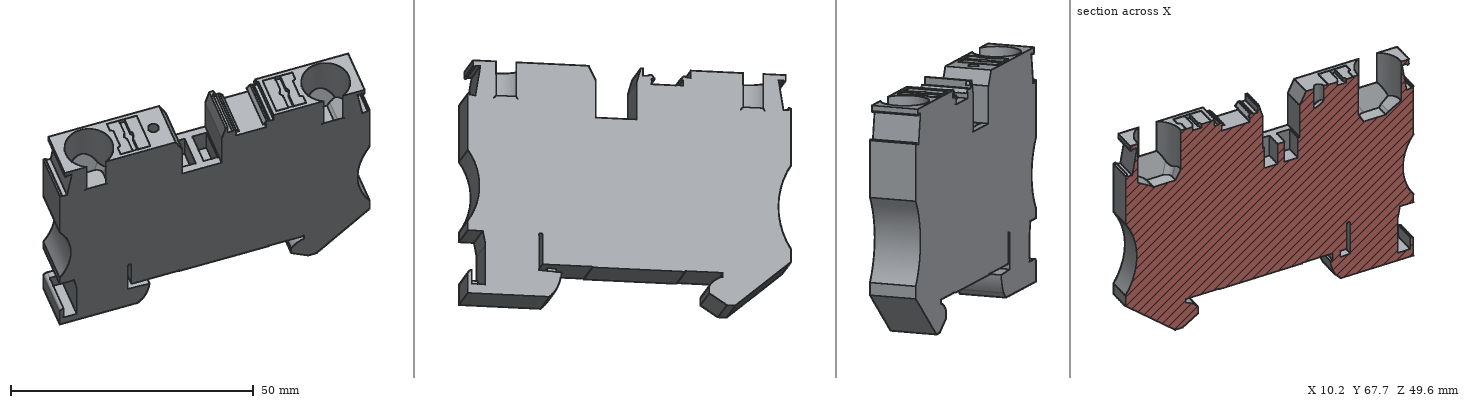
import math

import cadquery as cq

WIDTH = 10.15
LENGTH = 67.7
HEIGHT = 49.55
HALF_WIDTH = WIDTH / 2
END = LENGTH / 2

LIP_Y = 32.75
LIP_BOTTOM = 48.4
LIP_BEAD = 0.3
GROOVE_TOP_Y = 31.2
GROOVE_BOTTOM_Y = 32.25
GROOVE_FLOOR = 42.05
GROOVE_FLOOR_RISE = 0.15
SHOULDER_Y = 33.37
SHOULDER_TOP = 42.6
SHOULDER_EDGE = 42.4

SCALLOP_TOP = 30.4
FIXED_SCALLOP_BOTTOM = 12.5
FIXED_SCALLOP_DEPTH = 2.65
FOOT_SCALLOP_BOTTOM = 15.4
FOOT_SCALLOP_DEPTH = 2.45

RAIL_SEAT = 6.85
SEAT_PAD_DROP = 0.15
SEAT_PAD_ENDS = (-7.7, 11.75)
HOOK_SLOPE_TOP = 9.85
HOOK_BOTTOM_OUTER = 22.15
HOOK_BOTTOM_INNER = 20.4
HOOK_NOSE_Y = 16.7
HOOK_NOSE_LOW = 2.35
HOOK_NOSE_HIGH = 3.95
HOOK_ROOT_Y = 19.55
HOOK_ROOT_Z = 6.0
HOOK_BULGE = (17.8, 5.15)
FOOT_LEDGE = 5.55
FOOT_TOE_Z = 5.3
FOOT_TOE_Y = -14.2
FOOT_CURVE_MID = (-14.6, 3.3)
FOOT_CURVE_END = (-15.45, 1.35)
FOOT_BOTTOM_Y = -16.75
SLIT_INNER_Y = -18.2
SLIT_WIDTH = 0.75
SLIT_TOP = 13.45
RELEASE_WALL_Y = -30.15
RELEASE_TOP = 13.35
RELEASE_CHAMFER = (0.55, 2.85)
RELEASE_FLOOR = 4.93
FOOT_LIP_RADIUS = 0.85
POCKET_FLOOR = 2.0
POCKET_LIP_Y = FOOT_LIP_RADIUS - END
POCKET_WALL_THICKNESS = 1.6
SPRING_LENGTH_X = 4.0
SPRING_ENDS = (-16.7, -14.8)

GAP_Y_MIN = -7.05
GAP_Y_MAX = 1.5
GAP_FLOOR = 38.6
GAP_FLARE_Z = 46.5
GAP_FLARE_Y_MIN = -8.55
GAP_FLARE_Y_MAX = 2.4
WINDOW_LENGTH = 6.85
WINDOW_WIDTH = 3.07
WINDOW_CENTRES = (-0.33, -5.09)
WINDOW_DEPTH = 5.0

MARKER_Y_MIN = 2.87
MARKER_Y_MAX = 12.85
MARKER_LEDGE = 48.0
MARKER_FLOOR = 46.25
MARKER_FLOOR_Y_MIN = 4.65
MARKER_FLOOR_Y_MAX = 11.2
RIDGE_TOP = 48.25
RIDGE_Y_MIN = 4.2
RIDGE_Y_MAX = 11.7
RIDGE_TOP_WIDTH = 0.4
RIDGE_TIP_REACH = 0.67
RIDGE_TIP_Z = 47.4
EAR_LENGTH_X = 0.85
EAR_REACH = 0.75
EAR_TOP_REACH = 0.35
EAR_TIP_Z = 48.75
EAR_ROOT_Z = 48.95

FUNNEL_X = 0.5
FUNNEL_Y = 25.85
FUNNEL_RADIUS = 5.03
FUNNEL_FLOOR = 37.5
THROAT_WIDTH = 5.5
THROAT_SHIFT = -0.4
THROAT_INNER = 3.75
THROAT_OUTER = 1.4
THROAT_CORNER_RADIUS = 1.65
SIDE_STEEPNESS = 65
INNER_STEEPNESS = 61
OUTER_STEEPNESS = 30.3
OUTER_STEP = 0.65
OUTER_STEP_RISE = 0.55

INSERT_LENGTH = 8.45
INSERT_Y = 17.0
INSERT_HALF = 3.25
INSERT_RECESS = 0.1
NOTCH_HALF = 2.05
NOTCH_FLARE = 0.4
NOTCH_DEPTH = 0.65
SLOT_WIDTH = 1.2
SLOT_DEPTH = 0.95
SLOT_EYE_RADIUS = 1.0
TEST_HOLE_Y = -11.6
TEST_HOLE_DIAMETER = 2.2
TEST_HOLE_DEPTH = 5.0
TEST_FLOOR_RADIUS = 4.1
TEST_FLOOR_SHIFT = 1.95


def prism(points, x_min=-HALF_WIDTH, x_max=HALF_WIDTH):
    """Closed (y, z) polygon extruded along X."""
    return cq.Workplane("YZ", origin=(x_min, 0, 0)).polyline(points).close().extrude(x_max - x_min)


def block(x_range, y_range, z_range):
    """Axis-aligned box between the given limits."""
    sizes = [high - low for low, high in (x_range, y_range, z_range)]
    corner = (x_range[0], y_range[0], z_range[0])
    return cq.Workplane("XY").box(*sizes, centered=False).translate(corner)


def label_groove(side):
    """Undercut below the top lip of one end; side is +1 for the +Y end, -1 for the -Y end."""
    outside = END + 1
    points = [
        (outside, HEIGHT + 1),
        (LIP_Y, HEIGHT + 1),
        (LIP_Y, LIP_BOTTOM),
        (LIP_Y - LIP_BEAD, LIP_BOTTOM - LIP_BEAD),
        (LIP_Y - 2 * LIP_BEAD, LIP_BOTTOM),
        (GROOVE_TOP_Y, LIP_BOTTOM),
        (GROOVE_BOTTOM_Y, GROOVE_FLOOR),
        (SHOULDER_Y, GROOVE_FLOOR + GROOVE_FLOOR_RISE),
        (SHOULDER_Y, SHOULDER_TOP),
        (END, SHOULDER_EDGE),
        (outside, SHOULDER_EDGE),
    ]
    return prism([(side * y, z) for y, z in points])


def scallop(side, bottom, depth):
    """Cylinder along X that bites an end to the given depth over the height bottom to SCALLOP_TOP."""
    half_chord = (SCALLOP_TOP - bottom) / 2
    radius = (half_chord**2 + depth**2) / (2 * depth)
    y = side * (END - depth + radius)
    z = (SCALLOP_TOP + bottom) / 2
    return cq.Workplane("YZ", origin=(-HALF_WIDTH, 0, 0)).center(y, z).circle(radius).extrude(WIDTH)


def rail_opening():
    """Space for the rail between hook and foot, with the slit that frees the foot."""
    slit_outer_y = SLIT_INNER_Y - SLIT_WIDTH
    slit_arc_z = SLIT_TOP - SLIT_WIDTH / 2
    pad_min, pad_max = SEAT_PAD_ENDS
    pad_z = RAIL_SEAT - SEAT_PAD_DROP
    return (
        cq.Workplane("YZ", origin=(-HALF_WIDTH, 0, 0))
        .moveTo(HOOK_BOTTOM_INNER, 0)
        .lineTo(HOOK_NOSE_Y, HOOK_NOSE_LOW)
        .lineTo(HOOK_NOSE_Y, HOOK_NOSE_HIGH)
        .threePointArc(HOOK_BULGE, (HOOK_ROOT_Y, HOOK_ROOT_Z))
        .lineTo(HOOK_ROOT_Y, RAIL_SEAT)
        .lineTo(pad_max, RAIL_SEAT)
        .lineTo(pad_max, pad_z)
        .lineTo(pad_min, pad_z)
        .lineTo(pad_min, RAIL_SEAT)
        .lineTo(SLIT_INNER_Y, RAIL_SEAT)
        .lineTo(SLIT_INNER_Y, slit_arc_z)
        .threePointArc((SLIT_INNER_Y - SLIT_WIDTH / 2, SLIT_TOP), (slit_outer_y, slit_arc_z))
        .lineTo(slit_outer_y, FOOT_LEDGE)
        .lineTo(FOOT_TOE_Y, FOOT_TOE_Z)
        .threePointArc(FOOT_CURVE_MID, FOOT_CURVE_END)
        .lineTo(FOOT_BOTTOM_Y, 0)
        .close()
        .extrude(WIDTH)
    )


def hook_slope():
    """Corner removed below the fixed hook at the +Y end."""
    return prism([(END, HOOK_SLOPE_TOP), (HOOK_BOTTOM_OUTER, 0), (END, 0)])


def release_recess():
    """Recess for the release tool in the outer face of the foot."""
    chamfer_y, chamfer_z = RELEASE_CHAMFER
    return prism(
        [
            (-END, RELEASE_TOP),
            (RELEASE_WALL_Y - chamfer_y, RELEASE_TOP),
            (RELEASE_WALL_Y, RELEASE_TOP - chamfer_z),
            (RELEASE_WALL_Y, RELEASE_FLOOR),
            (-END, RELEASE_FLOOR),
        ]
    )


def release_pocket():
    """Deeper pocket behind the foot lip, open to +X and closed by a wall at -X."""
    return block(
        (-HALF_WIDTH + POCKET_WALL_THICKNESS, HALF_WIDTH),
        (POCKET_LIP_Y, RELEASE_WALL_Y),
        (POCKET_FLOOR, RELEASE_FLOOR),
    )


def foot_spring():
    """Short web between the rail seat and the foot ledge, set in from both sides."""
    half = SPRING_LENGTH_X / 2
    return block((-half, half), SPRING_ENDS, (FOOT_TOE_Z - SEAT_PAD_DROP, RAIL_SEAT))


def bridge_gap():
    """Slot across the top for jumpers, flared at its mouth."""
    return prism(
        [
            (GAP_Y_MIN, GAP_FLOOR),
            (GAP_Y_MAX, GAP_FLOOR),
            (GAP_Y_MAX, GAP_FLARE_Z),
            (GAP_FLARE_Y_MAX, HEIGHT),
            (GAP_FLARE_Y_MIN, HEIGHT),
            (GAP_Y_MIN, GAP_FLARE_Z),
        ]
    )


def gap_window(y):
    """Rectangular window sunk in the floor of the bridge gap."""
    half_length = WINDOW_LENGTH / 2
    half_width = WINDOW_WIDTH / 2
    return block(
        (-half_length, half_length),
        (y - half_width, y + half_width),
        (GAP_FLOOR - WINDOW_DEPTH, GAP_FLOOR),
    )


def marker_groove():
    """Groove for a marker strip, with an undercut snap ridge along each side."""
    return prism(
        [
            (MARKER_Y_MIN, HEIGHT),
            (MARKER_Y_MIN, MARKER_LEDGE),
            (RIDGE_Y_MIN - RIDGE_TOP_WIDTH, MARKER_LEDGE),
            (RIDGE_Y_MIN, RIDGE_TOP),
            (RIDGE_Y_MIN + RIDGE_TOP_WIDTH, RIDGE_TOP),
            (MARKER_FLOOR_Y_MIN + RIDGE_TIP_REACH, RIDGE_TIP_Z),
            (MARKER_FLOOR_Y_MIN, RIDGE_TIP_Z),
            (MARKER_FLOOR_Y_MIN, MARKER_FLOOR),
            (MARKER_FLOOR_Y_MAX, MARKER_FLOOR),
            (MARKER_FLOOR_Y_MAX, RIDGE_TIP_Z),
            (MARKER_FLOOR_Y_MAX - RIDGE_TIP_REACH, RIDGE_TIP_Z),
            (RIDGE_Y_MAX - RIDGE_TOP_WIDTH, RIDGE_TOP),
            (RIDGE_Y_MAX, RIDGE_TOP),
            (RIDGE_Y_MAX + RIDGE_TOP_WIDTH, MARKER_LEDGE),
            (MARKER_Y_MAX, MARKER_LEDGE),
            (MARKER_Y_MAX, HEIGHT),
        ]
    )


def marker_ear(wall_y, direction):
    """Retaining ear at the -X end of a marker groove wall, reaching over the groove."""
    points = [
        (wall_y, HEIGHT),
        (wall_y + direction * EAR_TOP_REACH, HEIGHT),
        (wall_y + direction * EAR_REACH, EAR_TIP_Z),
        (wall_y, EAR_ROOT_Z),
    ]
    return prism(points, -HALF_WIDTH, -HALF_WIDTH + EAR_LENGTH_X)


def wire_funnel(side):
    """Round wire entry that narrows on flat slopes to a rectangular throat with two rounded corners."""
    depth = HEIGHT - FUNNEL_FLOOR
    half_throat = THROAT_WIDTH / 2
    side_run = depth / math.tan(math.radians(SIDE_STEEPNESS))
    inner_run = depth / math.tan(math.radians(INNER_STEEPNESS))
    outer_run = (depth - OUTER_STEP_RISE) / math.tan(math.radians(OUTER_STEEPNESS))
    taper_reach = THROAT_OUTER + OUTER_STEP + outer_run

    bore = cq.Workplane("XY").circle(FUNNEL_RADIUS).extrude(depth)
    across = (
        cq.Workplane("XZ", origin=(THROAT_SHIFT, taper_reach, 0))
        .polyline(
            [
                (-half_throat, 0),
                (half_throat, 0),
                (half_throat + side_run, depth),
                (-half_throat - side_run, depth),
            ]
        )
        .close()
        .extrude(2 * taper_reach)
    )
    along = prism(
        [
            (-THROAT_INNER, 0),
            (THROAT_OUTER, 0),
            (THROAT_OUTER + OUTER_STEP, OUTER_STEP_RISE),
            (THROAT_OUTER + OUTER_STEP + outer_run, depth),
            (-THROAT_INNER - inner_run, depth),
        ],
        -taper_reach,
        taper_reach,
    )
    taper = across.intersect(along)
    for direction in (-1, 1):
        corner_x = direction * (half_throat + side_run / 2) + THROAT_SHIFT
        corner_y = -THROAT_INNER - inner_run / 2
        corner = cq.selectors.NearestToPointSelector((corner_x, corner_y, depth / 2))
        taper = taper.edges(corner).fillet(THROAT_CORNER_RADIUS)
    cutter = bore.intersect(taper)
    if side < 0:
        cutter = cutter.mirror("XZ")
    return cutter.translate((FUNNEL_X, side * FUNNEL_Y, FUNNEL_FLOOR))


def screw_insert(side):
    """Shallow recess with a notch toward the funnel, and a driver slot with a round eye."""
    half_length = INSERT_LENGTH / 2
    outline = [
        (-half_length, -INSERT_HALF),
        (half_length, -INSERT_HALF),
        (half_length, INSERT_HALF),
        (NOTCH_HALF + NOTCH_FLARE, INSERT_HALF),
        (NOTCH_HALF, INSERT_HALF - NOTCH_DEPTH),
        (-NOTCH_HALF, INSERT_HALF - NOTCH_DEPTH),
        (-NOTCH_HALF - NOTCH_FLARE, INSERT_HALF),
        (-half_length, INSERT_HALF),
    ]
    recess = cq.Workplane("XY").polyline(outline).close().extrude(-INSERT_RECESS)
    slot = cq.Workplane("XY").rect(INSERT_LENGTH, SLOT_WIDTH).extrude(-SLOT_DEPTH)
    eye = cq.Workplane("XY").circle(SLOT_EYE_RADIUS).extrude(-SLOT_DEPTH)
    cutter = recess.union(slot).union(eye)
    if side < 0:
        cutter = cutter.mirror("XZ")
    return cutter.translate((0, side * INSERT_Y, HEIGHT))


def test_hole():
    """Blind round hole for a test probe, its floor hollowed by a cylinder along X."""
    hole = (
        cq.Workplane("XY", origin=(0, TEST_HOLE_Y, HEIGHT))
        .circle(TEST_HOLE_DIAMETER / 2)
        .extrude(-TEST_HOLE_DEPTH)
    )
    axis_z = HEIGHT - TEST_HOLE_DEPTH + TEST_FLOOR_RADIUS
    hollow = (
        cq.Workplane("YZ", origin=(-HALF_WIDTH, 0, 0))
        .center(TEST_HOLE_Y + TEST_FLOOR_SHIFT, axis_z)
        .circle(TEST_FLOOR_RADIUS)
        .extrude(WIDTH)
    )
    return hole.intersect(hollow)


body = block((-HALF_WIDTH, HALF_WIDTH), (-END, END), (0, HEIGHT))
body = body.cut(release_recess())
lip_edge = cq.selectors.NearestToPointSelector((0, -END, RELEASE_FLOOR))
body = body.edges(lip_edge).fillet(FOOT_LIP_RADIUS)

cutters = [
    hook_slope(),
    scallop(1, FIXED_SCALLOP_BOTTOM, FIXED_SCALLOP_DEPTH),
    scallop(-1, FOOT_SCALLOP_BOTTOM, FOOT_SCALLOP_DEPTH),
    rail_opening(),
    release_pocket(),
    bridge_gap(),
    marker_groove(),
    test_hole(),
]
cutters += [gap_window(y) for y in WINDOW_CENTRES]
for end_side in (1, -1):
    cutters += [label_groove(end_side), wire_funnel(end_side), screw_insert(end_side)]
for cutter in cutters:
    body = body.cut(cutter)

body = body.union(foot_spring())
body = body.union(marker_ear(MARKER_Y_MAX, -1))
body = body.union(marker_ear(MARKER_Y_MIN, 1))

result = body